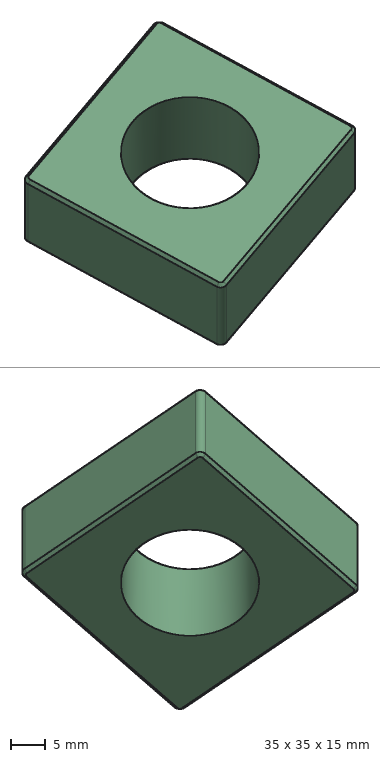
import cadquery as cq

side = 35.0
height = 15.0
hole_diameter = 20.0
corner_radius = 1.0
edge_chamfer = 0.52

block = cq.Workplane("XY").box(side, side, height).edges("|Z").fillet(corner_radius)

block = block.faces("<Z or >Z").edges().chamfer(edge_chamfer)

result = block.faces(">Z").workplane(origin=(0, 0, 0)).hole(hole_diameter)